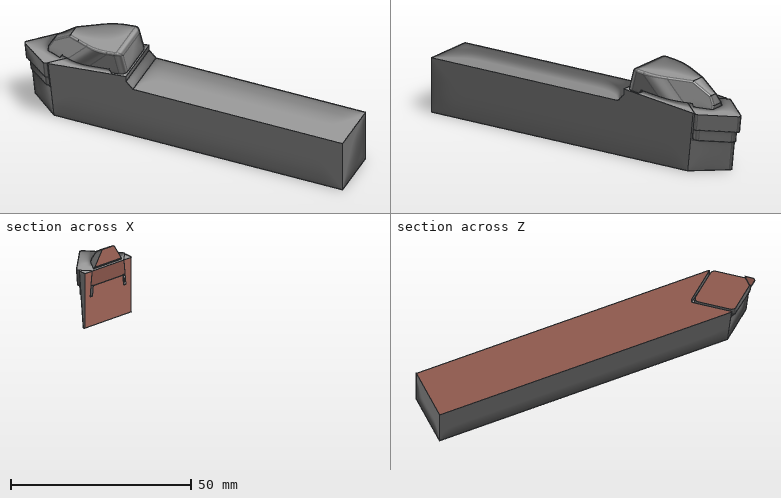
import cadquery as cq
import math

LENGTH = 99.6
SHANK_WIDTH = 16.0
SHANK_HEIGHT = 15.9

RAKE = 6.0
NOSE_HEIGHT = 16.1
HEAD_END = 34.0
HEAD_STEP = 2.1

HALF_POINT = math.radians(40.0)
INSERT_CIRCLE = 12.7
INSERT_CORNER = 0.8
INSERT_THICKNESS = 4.7
SHIM_CIRCLE = 11.7
SHIM_CORNER = 1.4
SHIM_THICKNESS = 3.3
WEDGE_CIRCLE = 11.0
WEDGE_CORNER = 0.8

CLAMP_WIDTH = 14.7
CLAMP_HEIGHT = 6.6
CLAMP_FRONT = 7.9
CLAMP_REAR = 33.7
SHOULDER_START = 14.3
SHOULDER_END = 21.6
TAPER = math.radians(26.0)
SIDE_SLANT = 1.19
NOSE_STEEP = (8.0, 1.3)
NOSE_BREAK = (9.7, 3.6)
ROOF_START = 15.3
REAR_LEAN = 1.0
REAR_TOP_ROUND = 1.6
REAR_CORNER_ROUND = 1.8
CLAMP_EDGE_ROUND = 0.7
FOOT_CLEARANCE = 0.3
GAP_HEIGHT = 1.1
GAP_START = 12.7
GAP_END = 29.5
GAP_SLOPE = 0.6


def half_diagonal(circle, corner):
    """Half of the long diagonal of a diamond with rounded corners."""
    return (circle / 2 - corner) / math.sin(HALF_POINT) + corner


DIAMOND_CENTER = half_diagonal(INSERT_CIRCLE, INSERT_CORNER)


def tilt(body):
    """Move a level head part to its raked place."""
    return body.rotate((0, 0, 0), (0, 1, 0), -RAKE).translate((0, 0, NOSE_HEIGHT))


def diamond(circle, corner, top, thickness):
    """Diamond plate with rounded corners, its upper face at the height top."""
    half_length = circle / 2 / math.sin(HALF_POINT)
    half_width = circle / 2 / math.cos(HALF_POINT)
    corners = [(-half_length, 0), (0, -half_width), (half_length, 0), (0, half_width)]
    return (
        cq.Workplane("XY", origin=(DIAMOND_CENTER, 0, top))
        .polyline(corners).close().extrude(-thickness)
        .edges("|Z").fillet(corner)
    )


def make_insert():
    """Indexable insert resting on the shim."""
    return tilt(diamond(INSERT_CIRCLE, INSERT_CORNER, 0, INSERT_THICKNESS))


def shank_and_head():
    """Bar with the raked head top and the ramp behind it."""
    head_top = NOSE_HEIGHT + HEAD_END * math.tan(math.radians(RAKE))
    profile = [
        (0, 0),
        (LENGTH, 0),
        (LENGTH, SHANK_HEIGHT),
        (HEAD_END + HEAD_STEP, SHANK_HEIGHT),
        (HEAD_END, SHANK_HEIGHT + HEAD_STEP),
        (HEAD_END, head_top),
        (0, NOSE_HEIGHT),
    ]
    return cq.Workplane("XZ").polyline(profile).close().extrude(SHANK_WIDTH / 2, both=True)


def wedge_envelope():
    """Space inside the pointed front of the holder, open towards the rear."""
    apex = DIAMOND_CENTER - WEDGE_CIRCLE / 2 / math.sin(HALF_POINT)
    half_width = SHANK_WIDTH
    shoulder = apex + half_width / math.tan(HALF_POINT)
    outline = [
        (apex, 0),
        (shoulder, -half_width),
        (2 * LENGTH, -half_width),
        (2 * LENGTH, half_width),
        (shoulder, half_width),
    ]
    envelope = (
        cq.Workplane("XY").polyline(outline).close()
        .extrude(LENGTH, both=True)
        .edges("|Z and <X").fillet(WEDGE_CORNER)
    )
    return tilt(envelope)


def clamp_sides():
    """Clamp plan outline swept upwards along the slanted side walls."""
    half_width = CLAMP_WIDTH / 2
    radius = (SHOULDER_END - SHOULDER_START) / math.sin(TAPER)
    shoulder_y = half_width - radius * (1 - math.cos(TAPER))
    middle_x = SHOULDER_END - radius * math.sin(TAPER / 2)
    middle_y = half_width - radius * (1 - math.cos(TAPER / 2))
    tip = SHOULDER_START - shoulder_y / math.tan(TAPER)
    rear = CLAMP_REAR + CLAMP_WIDTH

    def outline(height):
        shift = SIDE_SLANT * height
        return (
            cq.Workplane("XY", origin=(shift, 0, height))
            .moveTo(tip, 0)
            .lineTo(SHOULDER_START, -shoulder_y)
            .threePointArc((middle_x, -middle_y), (SHOULDER_END, -half_width))
            .lineTo(rear, -half_width)
            .lineTo(rear, half_width)
            .lineTo(SHOULDER_END, half_width)
            .threePointArc((middle_x, middle_y), (SHOULDER_START, shoulder_y))
            .close().val()
        )

    solid = cq.Solid.makeLoft([outline(0), outline(CLAMP_HEIGHT + 1)], True)
    return cq.Workplane(solid)


def clamp_profile():
    """Clamp side profile across the full width, with a rounded rear top edge."""
    profile = [
        (CLAMP_FRONT, 0),
        NOSE_STEEP,
        NOSE_BREAK,
        (ROOF_START, CLAMP_HEIGHT),
        (CLAMP_REAR - REAR_LEAN, CLAMP_HEIGHT),
        (CLAMP_REAR, 0),
    ]
    return (
        cq.Workplane("XZ").polyline(profile).close()
        .extrude(CLAMP_WIDTH, both=True)
        .edges("|Y").edges(">Z").edges(">X").fillet(REAR_TOP_ROUND)
    )


def clamp_heel():
    """Block with the leaning rear face and its two rounded corners."""
    top = 2 * CLAMP_HEIGHT
    profile = [
        (0, 0),
        (0, top),
        (CLAMP_REAR - REAR_LEAN * top / CLAMP_HEIGHT, top),
        (CLAMP_REAR, 0),
    ]
    return (
        cq.Workplane("XZ").polyline(profile).close()
        .extrude(CLAMP_WIDTH / 2, both=True)
        .faces(">X").edges("not |Y").fillet(REAR_CORNER_ROUND)
    )


def clamp_gap():
    """Clearance under the clamp between its front foot and its heel."""
    profile = [
        (0, 0),
        (0, FOOT_CLEARANCE),
        (GAP_START, FOOT_CLEARANCE),
        (GAP_START + GAP_SLOPE, GAP_HEIGHT),
        (GAP_END - GAP_SLOPE, GAP_HEIGHT),
        (GAP_END, 0),
    ]
    return cq.Workplane("XZ").polyline(profile).close().extrude(CLAMP_WIDTH, both=True)


def make_clamp():
    """Clamp with its roof rim and its nose ridge rounded, and relieved underneath."""
    clamp = clamp_sides().intersect(clamp_heel()).intersect(clamp_profile())
    nose_length, nose_height = NOSE_BREAK
    roof_rim = cq.selectors.BoxSelector(
        (0, -CLAMP_WIDTH, nose_height),
        (CLAMP_REAR, CLAMP_WIDTH, 2 * CLAMP_HEIGHT),
    )
    nose_ridge = cq.selectors.BoxSelector(
        (0, -CLAMP_WIDTH, FOOT_CLEARANCE),
        (nose_length, CLAMP_WIDTH, nose_height),
    )
    clamp = clamp.edges(roof_rim + nose_ridge).edges("not |Y").fillet(CLAMP_EDGE_ROUND)
    return tilt(clamp.cut(clamp_gap()))


def make_holder():
    """Shank with its insert pocket, the shim on the pocket floor and the clamp on top."""
    shim_top = -INSERT_THICKNESS
    seat_depth = INSERT_THICKNESS + SHIM_THICKNESS
    pocket = diamond(INSERT_CIRCLE, INSERT_CORNER, 0, seat_depth)
    shim = diamond(SHIM_CIRCLE, SHIM_CORNER, shim_top, SHIM_THICKNESS)
    body = shank_and_head().intersect(wedge_envelope()).cut(tilt(pocket))
    return body.union(tilt(shim)).union(make_clamp())


insert = make_insert()
holder = make_holder()
result = cq.Compound.makeCompound([holder.val(), insert.val()])